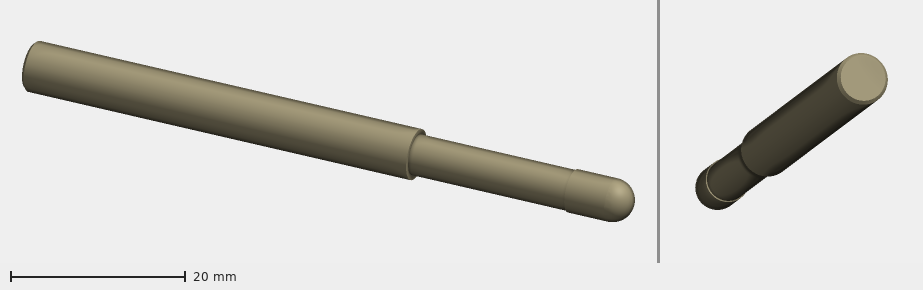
import cadquery as cq

total_length = 75.0
shank_diameter = 6.0
shank_length = 48.0
shank_chamfer = 0.4
neck_diameter = 4.8
tip_diameter = 5.1
tip_land_length = 4.95
nose_length = tip_diameter / 2

start_x = -total_length / 2
neck_length = total_length - shank_length - tip_land_length - nose_length


def cylinder_along_x(x, diameter, length):
    return cq.Workplane("YZ", origin=(x, 0, 0)).circle(diameter / 2).extrude(length)


shank = cylinder_along_x(start_x, shank_diameter, shank_length).faces("<X").chamfer(shank_chamfer)

neck_x = start_x + shank_length
neck = cylinder_along_x(neck_x, neck_diameter, neck_length)

tip_x = neck_x + neck_length
nose_x = tip_x + tip_land_length
tip = cylinder_along_x(tip_x, tip_diameter, tip_land_length)
nose = cq.Workplane("XY", origin=(nose_x, 0, 0)).sphere(tip_diameter / 2)

result = shank.union(neck).union(tip).union(nose)